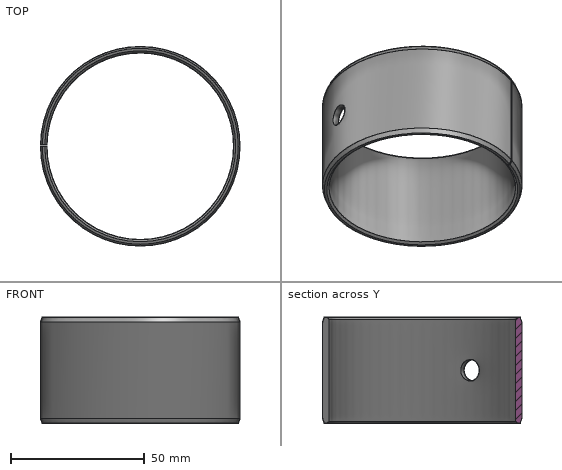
import cadquery as cq

outer_diameter = 75.0
wall = 2.5
height = 40.0

outer_chamfer_height = 1.8
outer_chamfer_depth = 0.7
inner_chamfer = 0.8

split_width = 0.5
oil_hole_diameter = 8.0
oil_hole_angle = 59.0

outer_radius = outer_diameter / 2
inner_radius = outer_radius - wall
half_height = height / 2


def sleeve():
    """Revolve the wall section with its end chamfers."""
    shoulder = half_height - outer_chamfer_height
    bore_edge = half_height - inner_chamfer
    rim_outer = outer_radius - outer_chamfer_depth
    rim_inner = inner_radius + inner_chamfer
    section = [
        (inner_radius, -bore_edge),
        (rim_inner, -half_height),
        (rim_outer, -half_height),
        (outer_radius, -shoulder),
        (outer_radius, shoulder),
        (rim_outer, half_height),
        (rim_inner, half_height),
        (inner_radius, bore_edge),
    ]
    return cq.Workplane("XZ").polyline(section).close().revolve(360, (0, 0), (0, 1))


def split():
    """Narrow full-height cut through the wall on the -X side, with one face on the Y = 0 plane."""
    cutter = cq.Workplane("XY").box(outer_radius, split_width, height)
    return cutter.translate((-outer_radius, split_width / 2, 0))


def oil_hole():
    """Radial hole through one wall, at mid height."""
    return (
        cq.Workplane("YZ")
        .circle(oil_hole_diameter / 2)
        .extrude(outer_diameter)
        .rotate((0, 0, 0), (0, 0, 1), oil_hole_angle)
    )


result = sleeve().cut(split()).cut(oil_hole())